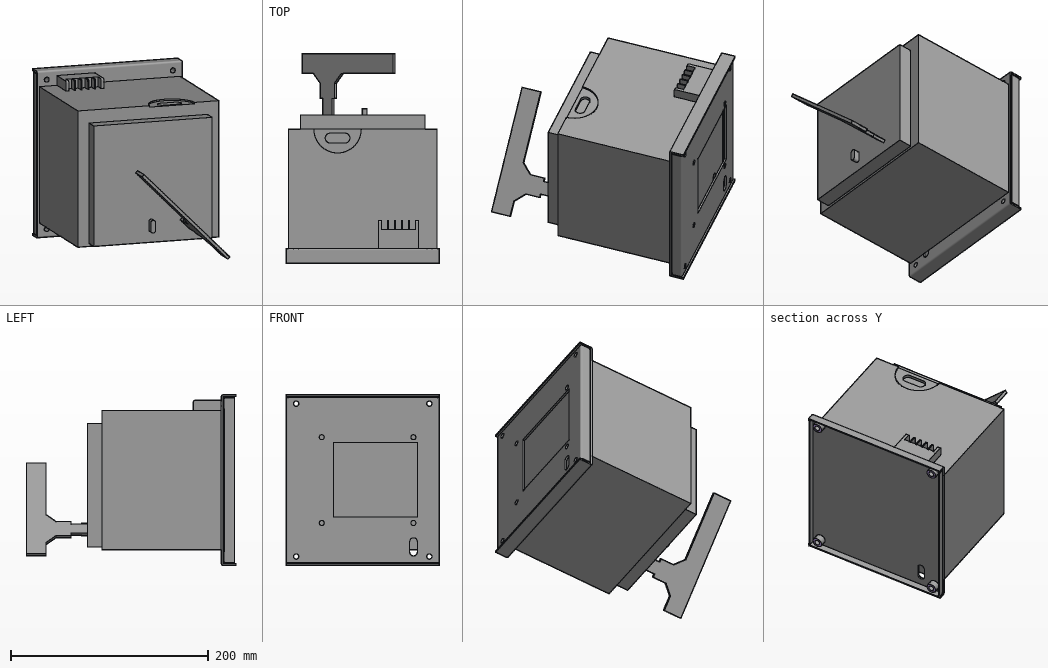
import cadquery as cq


sheet = 2.0
sheet_width = 155.5
chassis_height = 173.0
flange_depth = 15.0

panel_gap = 1.0
panel_height = chassis_height - 2 * (sheet + panel_gap)
panel_front_y = -13.6
panel_rear_y = -sheet - panel_gap
panel_inner_y = panel_front_y + sheet

screw_hole_dia = 5.0
corner_spacing_x = 135.0
corner_spacing_z = 155.0
spacer_dia = 10.6

window_width = 85.0
window_height = 75.5
window_x = 13.0
window_z = 0.2

inner_hole_spacing_x = 93.0
inner_hole_spacing_z = 87.0
inner_hole_x = 4.9

cable_slot_width = 7.7
cable_slot_length = 18.3
cable_slot_x = 51.5
cable_slot_z = -67.6

housing_width = 151.0
housing_depth = 121.0
housing_height = 141.5
housing_top = housing_height / 2

block_width = 126.7
block_depth = 14.7
block_top = 57.5
block_bottom = -67.8
block_rear_y = housing_depth + block_depth

recess_x = -25.5
recess_radius = 24.0
recess_depth = 1.5
lug_slot_length = 25.0
lug_slot_width = 10.0
lug_slot_inset = 9.0
lug_slot_depth = 3.0

terminal_x = 36.4
terminal_width = 40.6
terminal_depth = 28.5
terminal_height = 10.2
terminal_round = 2.1
terminal_slot_count = 5
terminal_slot_width = 6.0
terminal_slot_depth = 9.1
terminal_comb_width = 34.5
terminal_slot_pitch = (terminal_comb_width - terminal_slot_width) / (terminal_slot_count - 1)

axis_x = -34.9
axis_z = -50.2
handle_angle = 45.0
handle_thickness = 3.2
shaft_width = 13.5
neck_width = 20.5
taper_width = 40.2
grip_short_end = 36.0
grip_long_end = 94.2
shaft_end_y = 152.2
neck_end_y = 167.5
grip_front_y = 177.5
overall_length = 212.6
grip_rear_y = overall_length - flange_depth

pin_x = 2.0
pin_width = 5.0
pin_length = 13.2
pin_height = 6.2


def block(x_range, y_range, z_range):
    """Axis-aligned box given by its limits."""
    (x0, x1), (y0, y1), (z0, z1) = x_range, y_range, z_range
    return cq.Workplane("XY").box(x1 - x0, y1 - y0, z1 - z0, centered=False).translate((x0, y0, z0))


def centred(length, middle=0.0):
    """Limits of a length centred on a coordinate."""
    return (middle - length / 2, middle + length / 2)


def facing_front(y):
    """Work plane at depth y whose local axes are X and Z; extrusions run towards -Y."""
    return cq.Workplane("XZ", origin=(0, y, 0))


def corner_holes():
    """Round bars through everything at the four corner screw places."""
    return (
        facing_front(0).rarray(corner_spacing_x, corner_spacing_z, 2, 2)
        .circle(screw_hole_dia / 2).extrude(flange_depth)
    )


def cable_slot():
    """Upright rounded slot running forward from Y = 0."""
    return (
        facing_front(0).center(cable_slot_x, cable_slot_z)
        .slot2D(cable_slot_length, cable_slot_width, 90).extrude(flange_depth)
    )


def make_front_panel():
    """Sheet with its left and right edges folded to the rear."""
    outer = block(centred(sheet_width), (panel_front_y, panel_rear_y), centred(panel_height))
    outer = outer.edges("|Z and <Y").fillet(sheet)
    inside = block(centred(sheet_width - 2 * sheet), (panel_inner_y, panel_rear_y), centred(panel_height))
    window = block(
        centred(window_width, window_x), (panel_front_y, panel_rear_y), centred(window_height, window_z)
    )
    inner_holes = (
        facing_front(0).center(inner_hole_x, 0).rarray(inner_hole_spacing_x, inner_hole_spacing_z, 2, 2)
        .circle(screw_hole_dia / 2).extrude(flange_depth)
    )
    panel = outer.cut(inside).cut(window).cut(inner_holes)
    return panel.cut(corner_holes()).cut(cable_slot())


def make_chassis():
    """Sheet with its top and bottom edges folded forward, and four spacers that carry the panel."""
    outer = block(centred(sheet_width), (-flange_depth, 0), centred(chassis_height))
    outer = outer.edges("|X and >Y").fillet(sheet)
    inside = block(centred(sheet_width), (-flange_depth, -sheet), centred(chassis_height - 2 * sheet))
    spacers = (
        facing_front(-sheet).rarray(corner_spacing_x, corner_spacing_z, 2, 2)
        .circle(spacer_dia / 2).extrude(-sheet - panel_inner_y)
    )
    return outer.cut(inside).union(spacers).cut(corner_holes()).cut(cable_slot())


def make_terminal_strip():
    """Strip with a row of slots open to the rear and a rounded top rear edge."""
    top = housing_top + terminal_height
    strip = block(centred(terminal_width, terminal_x), (0, terminal_depth), (housing_top, top))
    strip = strip.edges("|X and >Y and >Z").fillet(terminal_round)
    for i in range(terminal_slot_count):
        slot_x = terminal_x + (i - (terminal_slot_count - 1) / 2) * terminal_slot_pitch
        slot_y = (terminal_depth - terminal_slot_depth, terminal_depth)
        strip = strip.cut(block(centred(terminal_slot_width, slot_x), slot_y, (housing_top, top)))
    return strip


def make_handle():
    """Flat T-shaped handle, turned about its shaft."""
    outline = [
        (-shaft_width / 2, block_rear_y),
        (shaft_width / 2, block_rear_y),
        (shaft_width / 2, shaft_end_y),
        (neck_width / 2, shaft_end_y),
        (neck_width / 2, neck_end_y),
        (taper_width / 2, grip_front_y),
        (grip_long_end, grip_front_y),
        (grip_long_end, grip_rear_y),
        (-grip_short_end, grip_rear_y),
        (-grip_short_end, grip_front_y),
        (-taper_width / 2, grip_front_y),
        (-neck_width / 2, neck_end_y),
        (-neck_width / 2, shaft_end_y),
        (-shaft_width / 2, shaft_end_y),
    ]
    flat = cq.Workplane("XY").polyline(outline).close().extrude(handle_thickness / 2, both=True)
    return flat.rotate((0, 0, 0), (0, 1, 0), -handle_angle).translate((axis_x, 0, axis_z))


def make_device():
    """Housing with rear block, top recess, terminal strip, guide pin and handle."""
    housing = block(centred(housing_width), (0, housing_depth), centred(housing_height))
    rear_block = block(centred(block_width), (housing_depth, block_rear_y), (block_bottom, block_top))
    recess = (
        cq.Workplane("XY", origin=(recess_x, housing_depth, housing_top))
        .circle(recess_radius).extrude(-recess_depth)
    )
    lug_slot = (
        cq.Workplane("XY", origin=(recess_x, housing_depth - lug_slot_inset, housing_top))
        .slot2D(lug_slot_length, lug_slot_width).extrude(-recess_depth - lug_slot_depth)
    )
    guide_pin = (
        facing_front(block_rear_y).center(pin_x, axis_z)
        .slot2D(pin_length, pin_width, 90).extrude(-pin_height)
    )
    device = housing.cut(recess).cut(lug_slot)
    for feature in (rear_block, make_terminal_strip(), guide_pin, make_handle()):
        device = device.union(feature)
    return device


front_panel = make_front_panel()
chassis = make_chassis()
device = make_device()

result = cq.Compound.makeCompound([front_panel.val(), chassis.val(), device.val()])